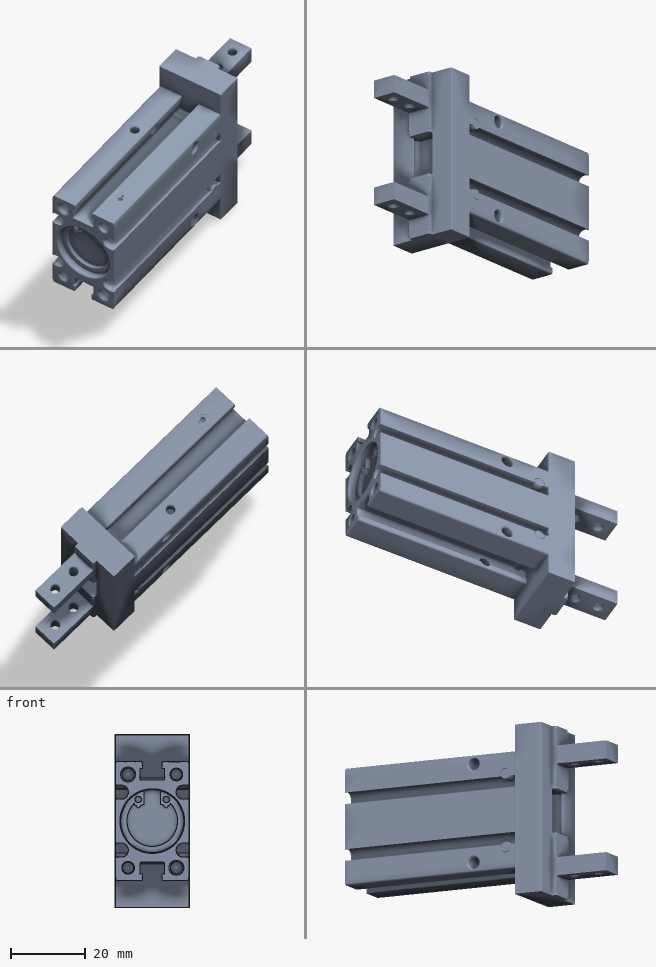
import cadquery as cq
import math


LENGTH = 75.4
WIDTH = 20.0
HEAD_HEIGHT = 46.4
HEAD_REAR = 51.1
HEAD_FRONT = 59.1
HEAD_CHAMFER = 0.11
HALF_WIDTH = WIDTH / 2
BODY_HALF_HEIGHT = 16.0

CORNER_ROUND = 0.565
SIDE_ROUND = 7.55
SIDE_ROUND_START = 13.95

NECK_HALF = 2.65
NECK_DEPTH = 1.8
SLOT_HALF = 3.3
SLOT_FLOOR = 11.0
SLOT_FLOOR_ROUND = 0.45
NECK_ROUND = 0.45

GROOVE_DIA = 3.8
GROOVE_X = 8.3
GROOVE_LIP_X = 9.6
GROOVE_Z = 7.8
GROOVE_MOUTH_HALF = 1.6

END_HOLE_X = 6.5
END_HOLE_Z = 12.5
END_HOLE_DEPTH = 7.55
LARGE_END_HOLE_DIA = 3.25
LARGE_END_HOLE_RIM = 4.0
SMALL_END_HOLE_DIA = 3.0
SMALL_END_HOLE_RIM = 3.4

SIDE_HOLE_Y = 38.7
SIDE_HOLE_Z = 13.5
SIDE_HOLE_DIA = 3.25
SIDE_HOLE_RIM = 3.9

PORT_X = 5.9
PORT_Y = 33.3
PORT_DEPTH = 3.0
PORT_DIA = 2.5
PORT_RIM = 3.0

SCREW_Y = 9.05
SCREW_DIA = 3.0
SCREW_SOCKET_DIA = 1.7
SCREW_SOCKET_DEPTH = 0.75
SCREW_TIP_DIA = 0.8
SCREW_NOTCH_WIDTH = 0.6
SCREW_NOTCH_DEPTH = 0.4
SCREW_RECESS = 0.1

PIN_DIA = 3.0
PIN_Y = 48.3
PIN_Z = 10.0
PIN_TIP_DIA = 2.7
PIN_TAPER = 0.6

BORE_DIA = 17.0
BORE_CHAMFER = 0.19
RING_FACE = 2.1
RING_THICKNESS = 1.1
RING_INNER_DIA = 13.6
RING_GAP_HALF = 2.2
RING_HOLE_DIA = 1.7
RING_HOLE_X = 3.8
RING_HOLE_Z = 5.8
EAR_TIP_Z = 3.5
EAR_SHOULDER_X = 2.6
EAR_SHOULDER_Z = 4.5
EAR_ROOT_X = 4.9
BORE_DEPTH = RING_FACE + RING_THICKNESS

FINGER_WIDTH = 7.0
FINGER_HALF = FINGER_WIDTH / 2
CARRIAGE_REAR = 55.5
CARRIAGE_FRONT = 60.4
CARRIAGE_INNER_Z = 6.0
GUIDE_RADIUS = 0.9
GUIDE_Y = 57.3
ARM_CENTER_Z = 15.3
ARM_THICKNESS = 5.0
ARM_FILLET = 0.4
ARM_HOLE_DIA = 2.5
ARM_HOLE_RIM = 3.0
ARM_HOLE_SETBACK = 4.0
ARM_HOLE_PITCH = 6.9
CORNER_CUT = 0.4
CORNER_CUT_LENGTH = 0.75


def cylinder(diameter, depth, origin, direction):
    """Solid cylinder that starts at origin and runs along direction."""
    return cq.Workplane(cq.Solid.makeCylinder(diameter / 2, depth, cq.Vector(*origin), cq.Vector(*direction)))


def cone(start_diameter, end_diameter, length, origin, direction):
    """Solid cone frustum that starts at origin and runs along direction."""
    axis = cq.Vector(*direction)
    return cq.Workplane(
        cq.Solid.makeCone(start_diameter / 2, end_diameter / 2, length, cq.Vector(*origin), axis)
    )


def chamfered_hole(diameter, rim, depth, origin, direction):
    """Cutter for a blind hole with a 45 degree chamfer at its mouth."""
    rim_depth = (rim - diameter) / 2
    mouth = cone(rim, diameter, rim_depth, origin, direction)
    return cylinder(diameter, depth, origin, direction).union(mouth)


def arc_point(center, radius, angle):
    """Point at the given angle on a circle."""
    return (center[0] + radius * math.cos(angle), center[1] + radius * math.sin(angle))


def block(x_range, y_range, z_range):
    """Axis-aligned box between the given limits."""
    size = [high - low for low, high in (x_range, y_range, z_range)]
    corner = cq.Vector(x_range[0], y_range[0], z_range[0])
    return cq.Workplane(cq.Solid.makeBox(*size, corner))


def body_blank():
    """Extruded body with its rounded long corners, without slots."""
    rise = BODY_HALF_HEIGHT - SIDE_ROUND_START - CORNER_ROUND
    join_angle = math.asin(rise / (SIDE_ROUND - CORNER_ROUND))
    side_center = (HALF_WIDTH - SIDE_ROUND, SIDE_ROUND_START)
    join = arc_point(side_center, SIDE_ROUND, join_angle)
    corner_center = arc_point(side_center, SIDE_ROUND - CORNER_ROUND, join_angle)
    corner_middle = arc_point(corner_center, CORNER_ROUND, (join_angle + math.pi / 2) / 2)
    corner_top = (corner_center[0], BODY_HALF_HEIGHT)

    quarter = (
        cq.Workplane("XZ")
        .moveTo(0, 0)
        .lineTo(HALF_WIDTH, 0)
        .lineTo(HALF_WIDTH, SIDE_ROUND_START)
        .threePointArc(arc_point(side_center, SIDE_ROUND, join_angle / 2), join)
        .threePointArc(corner_middle, corner_top)
        .lineTo(0, BODY_HALF_HEIGHT)
        .close()
        .extrude(-HEAD_REAR)
    )
    half = quarter.union(quarter.mirror("YZ"))
    return half.union(half.mirror("XY"))


def t_slot():
    """Cutter for the T-slot along the top of the body."""
    neck_bottom = BODY_HALF_HEIGHT - NECK_DEPTH
    slot = block((-SLOT_HALF, SLOT_HALF), (0, HEAD_REAR), (SLOT_FLOOR, neck_bottom))
    slot = slot.edges("|Y and <Z").fillet(SLOT_FLOOR_ROUND)

    bend = NECK_ROUND * (1 - math.sqrt(0.5))
    neck = (
        cq.Workplane("XZ")
        .moveTo(-NECK_HALF, neck_bottom)
        .lineTo(NECK_HALF, neck_bottom)
        .lineTo(NECK_HALF, BODY_HALF_HEIGHT - NECK_ROUND)
        .threePointArc(
            (NECK_HALF + bend, BODY_HALF_HEIGHT - bend),
            (NECK_HALF + NECK_ROUND, BODY_HALF_HEIGHT),
        )
        .lineTo(-NECK_HALF - NECK_ROUND, BODY_HALF_HEIGHT)
        .threePointArc(
            (-NECK_HALF - bend, BODY_HALF_HEIGHT - bend),
            (-NECK_HALF, BODY_HALF_HEIGHT - NECK_ROUND),
        )
        .close()
        .extrude(-HEAD_REAR)
    )
    return slot.union(neck)


def side_groove(x_sign, z_sign):
    """Cutter for one round-bottomed groove along a side face, with a narrower mouth."""
    radius = GROOVE_DIA / 2
    center_z = z_sign * GROOVE_Z
    length = (0, HEAD_REAR)
    trough = cylinder(GROOVE_DIA, HEAD_REAR, (x_sign * GROOVE_X, 0, center_z), (0, 1, 0))
    lip_stop = block(
        sorted((x_sign * GROOVE_LIP_X, x_sign * (GROOVE_X + GROOVE_DIA))),
        length,
        (center_z - radius, center_z + radius),
    )
    walls = block(
        sorted((x_sign * GROOVE_X, x_sign * GROOVE_LIP_X)),
        length,
        (center_z - radius, center_z + radius),
    )
    mouth = block(
        sorted((x_sign * GROOVE_X, x_sign * HALF_WIDTH)),
        length,
        (center_z - GROOVE_MOUTH_HALF, center_z + GROOVE_MOUTH_HALF),
    )
    return trough.cut(lip_stop).union(walls).union(mouth)


def guide_profile(front):
    """Plan outline of a finger carriage: a block with a half-round guide on each side."""
    return (
        cq.Workplane("XY")
        .moveTo(-FINGER_HALF, CARRIAGE_REAR)
        .lineTo(FINGER_HALF, CARRIAGE_REAR)
        .lineTo(FINGER_HALF, GUIDE_Y - GUIDE_RADIUS)
        .threePointArc((FINGER_HALF + GUIDE_RADIUS, GUIDE_Y), (FINGER_HALF, GUIDE_Y + GUIDE_RADIUS))
        .lineTo(FINGER_HALF, front)
        .lineTo(-FINGER_HALF, front)
        .lineTo(-FINGER_HALF, GUIDE_Y + GUIDE_RADIUS)
        .threePointArc((-FINGER_HALF - GUIDE_RADIUS, GUIDE_Y), (-FINGER_HALF, GUIDE_Y - GUIDE_RADIUS))
        .close()
    )


def head_block():
    """Head plate with the guide channel for both fingers."""
    half = HEAD_HEIGHT / 2
    head = block((-HALF_WIDTH, HALF_WIDTH), (HEAD_REAR, HEAD_FRONT), (-half, half))
    head = head.edges("|Z").chamfer(HEAD_CHAMFER)
    channel = guide_profile(HEAD_FRONT).extrude(HEAD_HEIGHT).translate((0, 0, -half))
    return head.cut(channel)


def cut_end_holes(body):
    """Four blind holes in the rear face, the larger pair on one diagonal."""
    for x_sign in (-1, 1):
        for z_sign in (-1, 1):
            large = x_sign != z_sign
            diameter = LARGE_END_HOLE_DIA if large else SMALL_END_HOLE_DIA
            rim = LARGE_END_HOLE_RIM if large else SMALL_END_HOLE_RIM
            origin = (x_sign * END_HOLE_X, 0, z_sign * END_HOLE_Z)
            body = body.cut(chamfered_hole(diameter, rim, END_HOLE_DEPTH, origin, (0, 1, 0)))
    return body


def cut_side_holes(body):
    """Two mounting holes through the whole width, chamfered at both sides."""
    for z_sign in (-1, 1):
        for x_sign in (-1, 1):
            origin = (x_sign * HALF_WIDTH, SIDE_HOLE_Y, z_sign * SIDE_HOLE_Z)
            direction = (-x_sign, 0, 0)
            body = body.cut(chamfered_hole(SIDE_HOLE_DIA, SIDE_HOLE_RIM, HALF_WIDTH, origin, direction))
    return body


def add_cross_pins(body):
    """Two fixed pins across the width, crossing the slots and grooves, with tapered ends flush with the sides."""
    straight_half = HALF_WIDTH - PIN_TAPER
    for z_sign in (-1, 1):
        z = z_sign * PIN_Z
        body = body.union(cylinder(PIN_DIA, 2 * straight_half, (-straight_half, PIN_Y, z), (1, 0, 0)))
        for x_sign in (-1, 1):
            start = (x_sign * straight_half, PIN_Y, z)
            outward = (x_sign, 0, 0)
            body = body.cut(cylinder(PIN_DIA, PIN_TAPER, start, outward))
            body = body.union(cone(PIN_DIA, PIN_TIP_DIA, PIN_TAPER, start, outward))
    return body


def cut_top_features(body):
    """Air port and adjusting screw socket in the top face."""
    down = (0, 0, -1)
    port_origin = (-PORT_X, PORT_Y, BODY_HALF_HEIGHT)
    body = body.cut(chamfered_hole(PORT_DIA, PORT_RIM, PORT_DEPTH, port_origin, down))
    screw_origin = (PORT_X, SCREW_Y, BODY_HALF_HEIGHT)
    body = body.cut(cylinder(SCREW_DIA, SCREW_RECESS, screw_origin, down))
    body = body.cut(cone(SCREW_SOCKET_DIA, SCREW_TIP_DIA, SCREW_SOCKET_DEPTH, screw_origin, down))
    notch = block(
        (PORT_X - SCREW_NOTCH_WIDTH / 2, PORT_X + SCREW_NOTCH_WIDTH / 2),
        (SCREW_Y, SCREW_Y + SCREW_DIA / 2),
        (BODY_HALF_HEIGHT - SCREW_NOTCH_DEPTH, BODY_HALF_HEIGHT),
    )
    return body.cut(notch.intersect(cylinder(SCREW_DIA, SCREW_NOTCH_DEPTH, screw_origin, down)))


def build_housing():
    """Body and head in one piece."""
    body = body_blank()
    slot = t_slot()
    body = body.cut(slot).cut(slot.mirror("XY"))
    for x_sign in (-1, 1):
        for z_sign in (-1, 1):
            body = body.cut(side_groove(x_sign, z_sign))
    bore_rim = BORE_DIA + 2 * BORE_CHAMFER
    body = body.cut(chamfered_hole(BORE_DIA, bore_rim, BORE_DEPTH, (0, 0, 0), (0, 1, 0)))
    body = cut_end_holes(body)
    body = cut_side_holes(body)
    body = cut_top_features(body)
    body = add_cross_pins(body)
    return body.union(head_block())


def build_retaining_ring():
    """Open ring with two drilled ears, seated against the floor of the rear bore."""
    inner_radius = RING_INNER_DIA / 2
    plane = cq.Workplane("XZ", origin=(0, RING_FACE, 0))
    ring = plane.circle(BORE_DIA / 2).circle(inner_radius).extrude(-RING_THICKNESS)
    ear_root_z = math.sqrt(inner_radius ** 2 - EAR_ROOT_X ** 2)
    disc = plane.circle(BORE_DIA / 2).extrude(-RING_THICKNESS)
    for x_sign in (-1, 1):
        outline = [
            (RING_GAP_HALF, BORE_DIA / 2),
            (RING_GAP_HALF, EAR_SHOULDER_Z),
            (EAR_SHOULDER_X, EAR_SHOULDER_Z),
            (RING_HOLE_X, EAR_TIP_Z),
            (EAR_ROOT_X, ear_root_z),
            (EAR_ROOT_X, BORE_DIA / 2),
        ]
        ear = plane.polyline([(x_sign * x, z) for x, z in outline]).close().extrude(-RING_THICKNESS)
        ring = ring.union(ear.intersect(disc))
    gap = block((-RING_GAP_HALF, RING_GAP_HALF), (RING_FACE, BORE_DEPTH), (0, BORE_DIA / 2))
    ring = ring.cut(gap)
    for x_sign in (-1, 1):
        origin = (x_sign * RING_HOLE_X, RING_FACE, RING_HOLE_Z)
        ring = ring.cut(cylinder(RING_HOLE_DIA, RING_THICKNESS, origin, (0, 1, 0)))
    return ring


def build_upper_finger():
    """Finger whose carriage slides in the head and whose arm reaches forward."""
    outer_z = HEAD_HEIGHT / 2
    carriage = guide_profile(CARRIAGE_FRONT).extrude(outer_z - CARRIAGE_INNER_Z)
    carriage = carriage.translate((0, 0, CARRIAGE_INNER_Z))
    for x_sign in (-1, 1):
        corner_x = x_sign * FINGER_HALF
        wedge = (
            cq.Workplane("XY")
            .moveTo(corner_x, CARRIAGE_FRONT)
            .lineTo(corner_x - x_sign * CORNER_CUT, CARRIAGE_FRONT)
            .lineTo(corner_x, CARRIAGE_FRONT - CORNER_CUT)
            .close()
            .extrude(CORNER_CUT_LENGTH)
        )
        for start_z in (CARRIAGE_INNER_Z, outer_z - CORNER_CUT_LENGTH):
            carriage = carriage.cut(wedge.translate((0, 0, start_z)))

    arm_bottom = ARM_CENTER_Z - ARM_THICKNESS / 2
    arm_top = ARM_CENTER_Z + ARM_THICKNESS / 2
    arm = block((-FINGER_HALF, FINGER_HALF), (CARRIAGE_FRONT, LENGTH), (arm_bottom, arm_top))
    finger = carriage.union(arm)
    for z in (arm_bottom, arm_top):
        finger = finger.edges(cq.selectors.NearestToPointSelector((0, CARRIAGE_FRONT, z))).fillet(ARM_FILLET)

    for y in (LENGTH - ARM_HOLE_SETBACK, LENGTH - ARM_HOLE_SETBACK - ARM_HOLE_PITCH):
        for z, z_direction in ((arm_top, -1), (arm_bottom, 1)):
            hole = chamfered_hole(ARM_HOLE_DIA, ARM_HOLE_RIM, ARM_THICKNESS / 2, (0, y, z), (0, 0, z_direction))
            finger = finger.cut(hole)
    return finger


housing = build_housing()
retaining_ring = build_retaining_ring()
upper_finger = build_upper_finger()
fingers = [upper_finger, upper_finger.mirror("XY")]

result = cq.Compound.makeCompound([housing.val(), retaining_ring.val(), *[finger.val() for finger in fingers]])